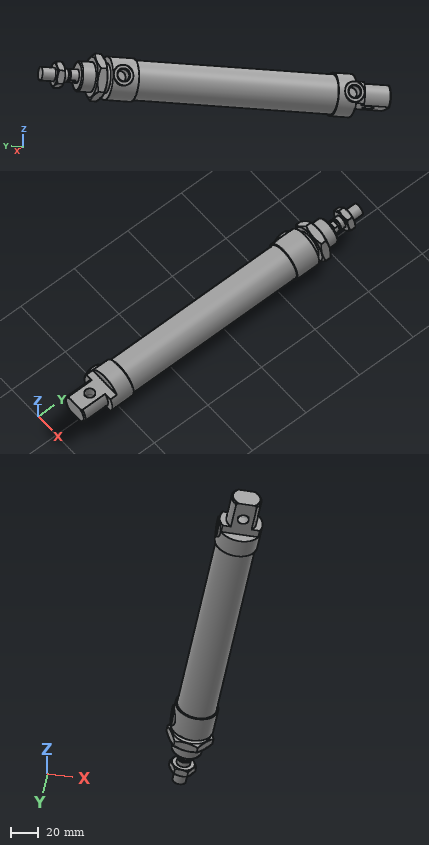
import cadquery as cq
import math


overall_length = 265.0
rod_projection = 28.0
nose_length = 22.0
front_cap_length = 20.0
nose_end = overall_length - rod_projection
front_cap_end = nose_end - nose_length
front_cap_start = front_cap_end - front_cap_length
tongue_length = 22.0
saddle_end = 28.0
rear_cap_end = 42.0
pivot_hole_y = 14.0

cap_diameter = 31.5
tube_diameter = 29.0
nose_diameter = 22.0
tongue_diameter = 22.0
tongue_thickness = 16.0
pivot_hole_diameter = 8.0
end_chamfer = 1.0

port_boss_diameter = 15.0
port_face_x = -16.0
port_mouth_diameter = 10.0
port_bore_diameter = 8.7
port_mouth_angle = 45.0
port_depth = 8.0
front_port_setback = 8.0
rear_port_setback = 12.0
port_positions = (front_cap_end - front_port_setback, rear_cap_end - rear_port_setback)

rod_diameter = 10.0
rod_depth_in_housing = nose_length
rod_tilt = 8.0
groove_diameter = 8.8
groove_front = overall_length - 20.2
groove_width = 1.6
flats_length = 3.4
flats_width = 8.4
flats_runout_angle = 30.0

nut_chamfer_angle = 30.0
nut_face_ratio = 0.975
mount_nut_width = 30.0
mount_nut_thickness = 7.5
mount_nut_start = overall_length - 46.2
mount_nut_tilt = 12.35
rod_nut_width = 17.0
rod_nut_thickness = 6.0
rod_nut_start = overall_length - 16.2


def round_bar(diameter, start, end):
    """Cylinder on the Y axis between two stations."""
    section = cq.Workplane("XZ", origin=(0, start, 0)).circle(diameter / 2)
    return section.extrude(start - end)


def slab(thickness, start, end):
    """Plate centred on the axis, wider than the housing, with the given height in Z."""
    plate = cq.Workplane("XY").box(2 * cap_diameter, end - start, thickness)
    return plate.translate((0, (start + end) / 2, 0))


def port_bar(diameter, y, depth):
    """Cylinder along X that reaches inward from the port face."""
    section = cq.Workplane("YZ", origin=(port_face_x, y, 0)).circle(diameter / 2)
    return section.extrude(depth)


def port_bore(y):
    """Blind bore with a conical mouth."""
    bore = port_bar(port_bore_diameter, y, port_depth)
    mouth_step = (port_mouth_diameter - port_bore_diameter) / 2
    mouth_depth = mouth_step / math.tan(math.radians(port_mouth_angle))
    mouth = cq.Workplane("YZ", origin=(port_face_x, y, 0)).circle(port_mouth_diameter / 2)
    mouth = mouth.extrude(mouth_depth, taper=port_mouth_angle)
    return bore.union(mouth)


def make_housing():
    """Tube, two end caps, round nose and flattened rear tongue."""
    tongue = round_bar(tongue_diameter, 0, saddle_end).faces("<Y").chamfer(end_chamfer)
    saddle = round_bar(cap_diameter, tongue_length, saddle_end)
    rear_mount = tongue.union(saddle).intersect(slab(tongue_thickness, 0, saddle_end))
    nose = round_bar(nose_diameter, front_cap_end, nose_end).faces(">Y").chamfer(end_chamfer)

    body = round_bar(cap_diameter, saddle_end, rear_cap_end)
    body = body.union(round_bar(tube_diameter, rear_cap_end, front_cap_start))
    body = body.union(round_bar(cap_diameter, front_cap_start, front_cap_end))
    body = body.union(nose).union(rear_mount)
    for y in port_positions:
        body = body.union(port_bar(port_boss_diameter, y, -port_face_x))
    for y in port_positions:
        body = body.cut(port_bore(y))

    pivot = cq.Workplane("XY").center(0, pivot_hole_y).circle(pivot_hole_diameter / 2)
    body = body.cut(pivot.extrude(tongue_thickness, both=True))
    return body.cut(round_bar(rod_diameter, nose_end - rod_depth_in_housing, nose_end))


def make_rod():
    """Piston rod with a thread relief groove and two wrench flats behind it."""
    groove_back = groove_front - groove_width
    flats_back = groove_back - flats_length
    rod = round_bar(rod_diameter, nose_end - rod_depth_in_housing, overall_length)
    ring = round_bar(2 * rod_diameter, groove_back, groove_front)
    rod = rod.cut(ring.cut(round_bar(groove_diameter, groove_back, groove_front)))

    flat_z = flats_width / 2
    runout_length = flat_z / math.tan(math.radians(flats_runout_angle))
    flat_profile = [
        (groove_back, flat_z),
        (flats_back, flat_z),
        (flats_back - runout_length, 2 * flat_z),
        (groove_back, 2 * flat_z),
    ]
    flat = cq.Workplane("YZ").polyline(flat_profile).close().extrude(rod_diameter, both=True)
    rod = rod.cut(flat).cut(flat.mirror("XY"))
    return rod.rotate((0, 0, 0), (0, 1, 0), rod_tilt)


def make_hex_nut(width, thickness, bore_diameter, start, tilt):
    """Hexagon nut with conical chamfers on both faces."""
    corner_radius = width / 2 / math.cos(math.radians(30))
    face_radius = nut_face_ratio * width / 2
    chamfer_height = (corner_radius - face_radius) * math.tan(math.radians(nut_chamfer_angle))
    hexagon = cq.Workplane("XZ").polygon(6, 2 * corner_radius).extrude(-thickness)
    envelope_profile = [
        (0, 0),
        (face_radius, 0),
        (corner_radius, chamfer_height),
        (corner_radius, thickness - chamfer_height),
        (face_radius, thickness),
        (0, thickness),
    ]
    envelope = cq.Workplane("XY").polyline(envelope_profile).close().revolve(360, (0, 0), (0, 1))
    nut = hexagon.intersect(envelope).cut(round_bar(bore_diameter, 0, thickness))
    return nut.rotate((0, 0, 0), (0, 1, 0), tilt).translate((0, start, 0))


housing = make_housing()
rod = make_rod()
mount_nut = make_hex_nut(
    mount_nut_width, mount_nut_thickness, nose_diameter, mount_nut_start, mount_nut_tilt
)
rod_nut = make_hex_nut(rod_nut_width, rod_nut_thickness, rod_diameter, rod_nut_start, rod_tilt)

result = cq.Compound.makeCompound(
    [housing.val(), rod.val(), mount_nut.val(), rod_nut.val()]
)